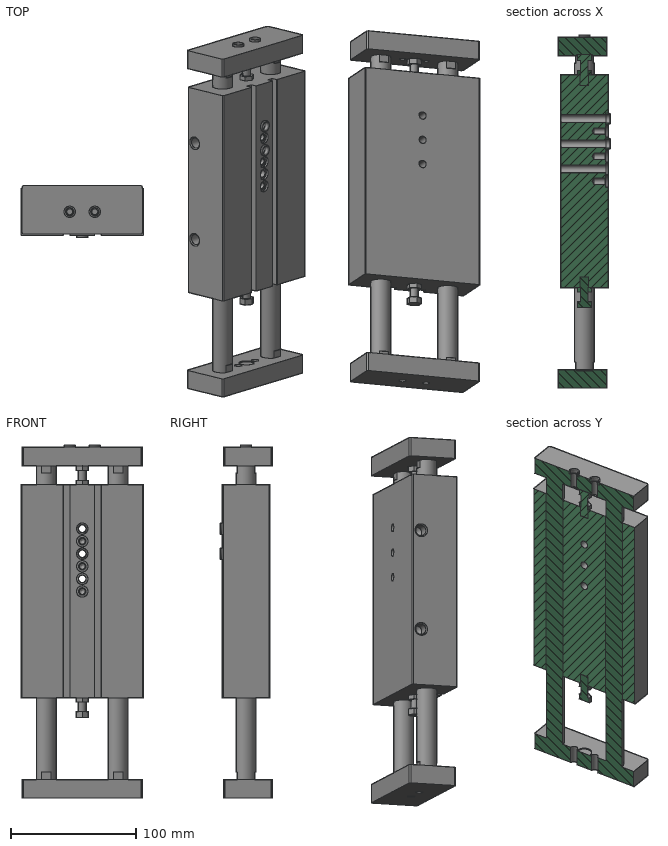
import cadquery as cq
import math

overall_depth = 41.7
housing_width = 98.0
housing_depth = 38.0
housing_bottom = 80.0
housing_top = 250.1
housing_chamfer = 0.8

plate_width = 96.0
plate_depth = 39.0
plate_thickness = 15.0
plate_chamfer = 1.0
top_plate_bottom = 265.0
top_plate_top = top_plate_bottom + plate_thickness

rod_diameter = 16.0
rod_spacing = 57.2
rod_flat_size = 14.0
rod_flat_height = 6.0

plate_hole_spacing = 20.0
front_hole_pitch = plate_hole_spacing / 2
screw_hole_diameter = 6.0
thread_core_diameter = 4.8
thread_hole_depth = 11.3
sleeve_diameter = 9.0
sleeve_seat_depth = 2.0
sleeve_protrusion = 1.7
sleeve_bore_diameter = 6.5
hole_count = 6
first_hole_drop = 35.2
drill_point_angle = 118

port_diameter = 8.5
port_mouth_diameter = 10.5
port_depth = 11.3
port_y = 11.5
port_end_distance = 45.0

slot_inner = 10.0
slot_outer = 15.0
slot_depth = 5.0
slot_lip_chamfer = 0.5

hex_size = 10.0
stop_shank_diameter = 6.5
stop_head_height = 4.8
stop_nut_height = 3.5
stop_length = 15.8
stop_thread_depth = 8.5
stop_seat_diameter = 12.0

housing_front = -housing_depth / 2
plate_back = overall_depth + housing_front - sleeve_protrusion
plate_middle = plate_back - plate_depth / 2
housing_height = housing_top - housing_bottom
housing_middle = (housing_top + housing_bottom) / 2
rod_positions = [-rod_spacing / 2, rod_spacing / 2]
plate_hole_positions = [-plate_hole_spacing / 2, plate_hole_spacing / 2]
hole_heights = [housing_top - first_hole_drop - i * front_hole_pitch for i in range(hole_count)]
through_hole_heights = hole_heights[0::2]
thread_hole_heights = hole_heights[1::2]
sleeve_heights = through_hole_heights[:2]
stop_seat_depth = housing_top + stop_length - top_plate_bottom


def cylinder(diameter, length, start, direction):
    return cq.Workplane(cq.Solid.makeCylinder(diameter / 2, length, cq.Vector(*start), cq.Vector(*direction)))


def cone(start_diameter, end_diameter, length, start, direction):
    return cq.Workplane(
        cq.Solid.makeCone(start_diameter / 2, end_diameter / 2, length, cq.Vector(*start), cq.Vector(*direction))
    )


def drilled_hole(diameter, depth, start, direction):
    """Blind hole with a conical drill point."""
    point_height = diameter / 2 / math.tan(math.radians(drill_point_angle / 2))
    point_start = cq.Vector(*start) + cq.Vector(*direction) * depth
    hole = cylinder(diameter, depth, start, direction)
    return hole.union(cone(diameter, 0, point_height, point_start.toTuple(), direction))


def make_slot(side):
    """Slot along the full height of the front face, its outer lip chamfered."""
    back = housing_front + slot_depth
    outline = [
        (side * slot_inner, housing_front),
        (side * slot_inner, back),
        (side * slot_outer, back),
        (side * slot_outer, housing_front + slot_lip_chamfer),
        (side * (slot_outer + slot_lip_chamfer), housing_front),
    ]
    return cq.Workplane("XY", origin=(0, 0, housing_bottom)).polyline(outline).close().extrude(housing_height)


def make_port(z):
    """Drilled port with a countersunk mouth."""
    start = (-housing_width / 2, port_y, z)
    mouth_depth = (port_mouth_diameter - port_diameter) / 2
    port = drilled_hole(port_diameter, port_depth, start, (1, 0, 0))
    return port.union(cone(port_mouth_diameter, port_diameter, mouth_depth, start, (1, 0, 0)))


def make_front_hole(z, threaded):
    """Counterbored hole, either a blind thread with a chamfered mouth or a plain through hole."""
    start = (0, housing_front, z)
    inward = (0, 1, 0)
    seat = cylinder(sleeve_diameter, sleeve_seat_depth, start, inward)
    if not threaded:
        return seat.union(cylinder(screw_hole_diameter, housing_depth, start, inward))
    mouth_depth = (screw_hole_diameter - thread_core_diameter) / 2
    mouth_start = (0, housing_front + sleeve_seat_depth, z)
    mouth = cone(screw_hole_diameter, thread_core_diameter, mouth_depth, mouth_start, inward)
    return seat.union(drilled_hole(thread_core_diameter, thread_hole_depth, start, inward)).union(mouth)


def make_housing():
    housing = (
        cq.Workplane("XY")
        .box(housing_width, housing_depth, housing_height)
        .edges("|Z")
        .chamfer(housing_chamfer)
        .translate((0, 0, housing_middle))
    )
    for side in (-1, 1):
        housing = housing.cut(make_slot(side))
    for x in rod_positions:
        housing = housing.cut(cylinder(rod_diameter, housing_height, (x, 0, housing_bottom), (0, 0, 1)))
    for z in through_hole_heights:
        housing = housing.cut(make_front_hole(z, threaded=False))
    for z in thread_hole_heights:
        housing = housing.cut(make_front_hole(z, threaded=True))
    for z in (housing_bottom + port_end_distance, housing_top - port_end_distance):
        housing = housing.cut(make_port(z))
    for z, outward in ((housing_bottom, -1), (housing_top, 1)):
        housing = housing.cut(cylinder(stop_shank_diameter, stop_thread_depth, (0, 0, z), (0, 0, -outward)))
    return housing


def make_plate(bottom, hole_diameter):
    """End plate with two holes along Z."""
    plate = (
        cq.Workplane("XY", origin=(0, plate_middle, bottom))
        .rect(plate_width, plate_depth)
        .extrude(plate_thickness)
        .edges("|Z")
        .chamfer(plate_chamfer)
    )
    for x in plate_hole_positions:
        plate = plate.cut(cylinder(hole_diameter, plate_thickness, (x, 0, bottom), (0, 0, 1)))
    return plate


def make_rod(x):
    """Guide rod between the plates, with two wrench flats at each end."""
    length = top_plate_bottom - plate_thickness
    rod = cylinder(rod_diameter, length, (x, 0, plate_thickness), (0, 0, 1))
    flatted_end = cq.Workplane("XY").box(rod_diameter, rod_flat_size, rod_flat_height)
    end_block = cq.Workplane("XY").box(rod_diameter, rod_diameter, rod_flat_height)
    flat_cut = end_block.cut(flatted_end)
    for z in (plate_thickness + rod_flat_height / 2, top_plate_bottom - rod_flat_height / 2):
        rod = rod.cut(flat_cut.translate((x, 0, z)))
    return rod


def make_carriage():
    """Two end plates rigidly joined by two guide rods."""
    bottom_plate = make_plate(0, screw_hole_diameter)
    top_plate = make_plate(top_plate_bottom, thread_core_diameter)
    carriage = bottom_plate.union(top_plate)
    for x in rod_positions:
        carriage = carriage.union(make_rod(x))
    for x in plate_hole_positions:
        carriage = carriage.cut(cylinder(sleeve_diameter, sleeve_seat_depth, (x, 0, top_plate_top), (0, 0, -1)))
    for z, inward in ((plate_thickness, -1), (top_plate_bottom, 1)):
        carriage = carriage.cut(cylinder(stop_seat_diameter, stop_seat_depth, (0, 0, z), (0, 0, inward)))
    return carriage


def make_sleeve():
    """Centring sleeve along Z with a rounded end, seated to the depth of its counterbore below z = 0."""
    inner_radius = sleeve_bore_diameter / 2
    outer_radius = sleeve_diameter / 2
    end_radius = (outer_radius - inner_radius) / 2
    round_start = sleeve_protrusion - end_radius
    return (
        cq.Workplane("XZ")
        .moveTo(inner_radius, -sleeve_seat_depth)
        .lineTo(outer_radius, -sleeve_seat_depth)
        .lineTo(outer_radius, round_start)
        .threePointArc((inner_radius + end_radius, sleeve_protrusion), (inner_radius, round_start))
        .close()
        .revolve(360, (0, 0, 0), (0, 1, 0))
    )


def hexagon(bottom, height):
    """Hexagonal prism with its corners toward +Y and -Y."""
    corner_diameter = hex_size / math.cos(math.pi / 6)
    prism = cq.Workplane("XY").polygon(6, corner_diameter).extrude(height)
    return prism.rotate((0, 0, 0), (0, 0, 1), 30).translate((0, 0, bottom))


def make_stop_screw():
    """Hexagon head screw whose lock-nut face rests at z = 0, head upward."""
    shank = cylinder(stop_shank_diameter, stop_thread_depth + stop_length, (0, 0, -stop_thread_depth), (0, 0, 1))
    return shank.union(hexagon(stop_length - stop_head_height, stop_head_height))


def make_lock_nut():
    return hexagon(0, stop_nut_height).cut(cylinder(stop_shank_diameter, stop_nut_height, (0, 0, 0), (0, 0, 1)))


def at_housing_ends(body):
    """Copies of a body made at z = 0, one on the housing top and one mirrored on its bottom."""
    return [
        body.translate((0, 0, housing_top)).val(),
        body.mirror("XY").translate((0, 0, housing_bottom)).val(),
    ]


housing = make_housing()
carriage = make_carriage()
plate_sleeves = [make_sleeve().translate((x, 0, top_plate_top)).val() for x in plate_hole_positions]
forward_sleeve = make_sleeve().rotate((0, 0, 0), (1, 0, 0), 90)
housing_sleeves = [forward_sleeve.translate((0, housing_front, z)).val() for z in sleeve_heights]
stop_screws = at_housing_ends(make_stop_screw())
lock_nuts = at_housing_ends(make_lock_nut())

result = cq.Compound.makeCompound(
    [housing.val(), carriage.val(), *plate_sleeves, *housing_sleeves, *stop_screws, *lock_nuts]
)